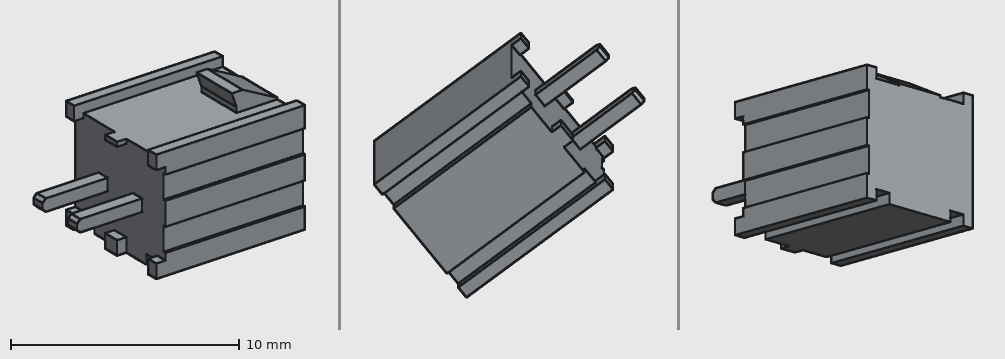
import cadquery as cq

width = 6.6
side_height = 6.08
length = 7.62
skin_step = 0.51
deck_z = side_height - skin_step

rail_width = 0.59
standoff_length = 0.5
standoff_height = 0.76
tab_width = 0.87
top_tab_height = standoff_height - skin_step
base_plate_width = 3.8

groove_depth = 0.13
groove_height = 1.27
groove_offset = 1.27

latch_width = 2.57
latch_top_z = 6.6
latch_crest_start = 1.9
latch_tip = 2.49
latch_foot = 2.24
latch_foot_height = 0.28
latch_start_height = 0.08

overall_length = 11.18
pin_size = 0.66
pin_pitch = 2.53
pin_count = 2
pin_z = 2.78
pin_chamfer = 0.18
pin_seat_depth = 1.12
pin_length = overall_length - length + pin_seat_depth
pin_positions = [(index - (pin_count - 1) / 2) * pin_pitch for index in range(pin_count)]


def block(x_center, x_size, y_end, y_size, z_bottom, z_size):
    """Box centred on x_center that runs toward -Y from y_end, standing on z_bottom."""
    return cq.Workplane("XY").box(x_size, y_size, z_size, centered=(True, False, False)).translate(
        (x_center, y_end - y_size, z_bottom)
    )


def make_shell():
    """Main block with the recessed deck, underside channels and side grooves cut lengthwise."""
    shell = block(0, width, 0, length, 0, side_height)
    shell = shell.cut(block(0, width - 2 * rail_width, 0, length, deck_z, skin_step))

    channel_width = (width - base_plate_width) / 2 - rail_width
    channel_x = (base_plate_width + channel_width) / 2
    groove_x = (width - groove_depth) / 2
    for side in (-1, 1):
        shell = shell.cut(block(side * channel_x, channel_width, 0, length, 0, skin_step))
        groove_bottom = side_height / 2 + side * groove_offset - groove_height / 2
        shell = shell.cut(block(groove_x, groove_depth, 0, length, groove_bottom, groove_height))
    return shell


def make_standoffs():
    """Four corner standoffs and two centre tabs in front of the pin face."""
    rail_x = (width - rail_width) / 2
    standoffs = []
    for x in (-rail_x, rail_x):
        for z in (0, side_height - standoff_height):
            standoffs.append(block(x, rail_width, -length, standoff_length, z, standoff_height))
    standoffs.append(block(0, tab_width, -length, standoff_length, 0, standoff_height))
    top_tab_z = deck_z - top_tab_height
    standoffs.append(block(0, tab_width, -length, standoff_length, top_tab_z, top_tab_height))
    return standoffs


def make_latch():
    """Ramp rising from the mating end to a crest with an undercut nose."""
    return (
        cq.Workplane("YZ")
        .moveTo(0, deck_z)
        .lineTo(0, deck_z + latch_start_height)
        .lineTo(-latch_crest_start, latch_top_z)
        .lineTo(-latch_tip, latch_top_z)
        .lineTo(-latch_foot, deck_z + latch_foot_height)
        .lineTo(-latch_foot, deck_z)
        .close()
        .extrude(latch_width / 2, both=True)
    )


def make_pin(x):
    """Square pin seated in the housing, its tip chamfered above and below."""
    seat_end = -length + pin_seat_depth
    pin = block(x, pin_size, seat_end, pin_length, pin_z - pin_size / 2, pin_size)
    return pin.faces("<Y").edges("|X").chamfer(pin_chamfer)


def make_housing(pins):
    """Shell with its latch and standoffs, and a matching blind hole for each pin."""
    housing = make_shell().union(make_latch())
    for standoff in make_standoffs():
        housing = housing.union(standoff)
    for pin in pins:
        housing = housing.cut(pin)
    return housing


pins = [make_pin(x) for x in pin_positions]
housing = make_housing(pins)

result = cq.Compound.makeCompound([housing.solids().val(), *[pin.solids().val() for pin in pins]])